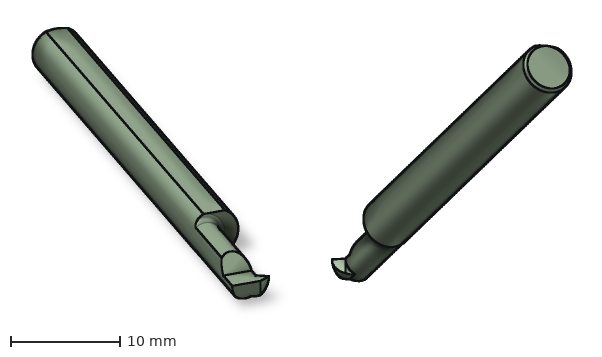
import cadquery as cq
import math

overall_length = 50.8
shank_diameter = 4.75
height_over_flat = 4.5
shank_length = 40.15
rear_chamfer = 0.3
neck_radius = 1.525
neck_reach_y = 0.42
tooth_tip_y = 1.5
tooth_angle = 60.0
ramp_end_x = 48.55

shank_radius = shank_diameter / 2
flat_z = height_over_flat - shank_radius
neck_axis_y = neck_reach_y - neck_radius
root_radius = flat_z - neck_radius
tooth_half_width = (tooth_tip_y - neck_reach_y) * math.tan(math.radians(tooth_angle / 2))
tooth_tip_x = overall_length - tooth_half_width
tooth_start_x = tooth_tip_x - tooth_half_width


def round_bar(radius, length):
    """Cylinder along the X axis, starting at X = 0."""
    return cq.Workplane("YZ").circle(radius).extrude(length)


def shank():
    """Round shank with a rear chamfer and a flat along its top."""
    bar = round_bar(shank_radius, shank_length).faces("<X").chamfer(rear_chamfer)
    above_flat = (
        cq.Workplane("XY")
        .workplane(offset=flat_z)
        .rect(2 * shank_length, shank_diameter)
        .extrude(shank_radius)
    )
    return bar.cut(above_flat)


def neck():
    """Eccentric neck, filleted into the shank face and bounded by the shank cylinder."""
    filleted_neck = (
        cq.Workplane("XZ")
        .moveTo(shank_length, 0)
        .lineTo(shank_length, neck_radius + root_radius)
        .radiusArc((shank_length + root_radius, neck_radius), -root_radius)
        .lineTo(overall_length, neck_radius)
        .lineTo(overall_length, 0)
        .close()
        .revolve(360, (0, 0, 0), (1, 0, 0))
        .translate((0, neck_axis_y, 0))
    )
    return filleted_neck.intersect(round_bar(shank_radius, overall_length))


def chip_space():
    """Space above the cutting face, with a 45 degree ramp at its rear end."""
    height = shank_radius
    return (
        cq.Workplane("XZ")
        .moveTo(ramp_end_x, 0)
        .lineTo(ramp_end_x - height, height)
        .lineTo(overall_length, height)
        .lineTo(overall_length, 0)
        .close()
        .extrude(shank_diameter, both=True)
    )


def tooth():
    """Pointed thread tooth, rounded underneath about the shank axis for clearance."""
    wedge = (
        cq.Workplane("XY")
        .moveTo(overall_length, neck_axis_y)
        .lineTo(overall_length, neck_reach_y)
        .lineTo(tooth_tip_x, tooth_tip_y)
        .lineTo(tooth_start_x, neck_reach_y)
        .lineTo(tooth_start_x, neck_axis_y)
        .close()
        .extrude(-tooth_tip_y)
    )
    return wedge.intersect(round_bar(tooth_tip_y, overall_length))


working_end = neck().cut(chip_space()).union(tooth())
result = shank().union(working_end)